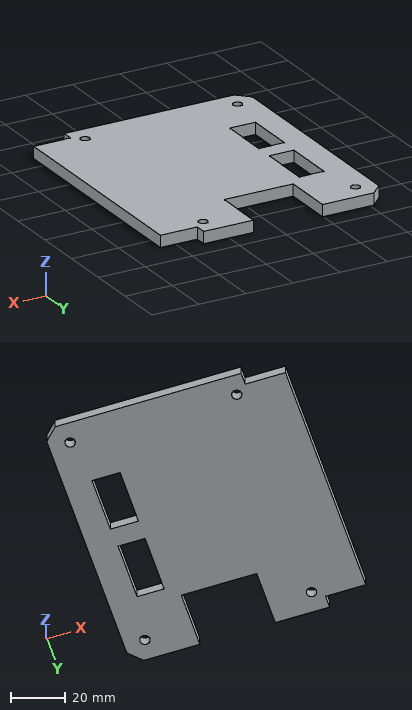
import cadquery as cq

length = 93.0
width = 104.5
thickness = 5.0
corner_chamfer = 5.0

shoulder_x = 77.3
shoulder_step = 4.8

notch_left = 26.9
notch_right = 56.1
notch_depth = 21.9

window_right = 21.6
upper_window_length = 10.5
upper_window_bottom = 55.5
upper_window_top = 78.0
lower_window_length = 10.9
lower_window_bottom = 26.0
lower_window_top = 47.7

hole_diameter = 3.8
hole_inset = 8.2
hole_spacing_x = 64.8


def plate_body():
    """Wide plate with two chamfered corners and a stepped-in tongue."""
    wide = cq.Workplane("XY").box(shoulder_x, width, thickness, centered=False)
    wide = wide.edges("|Z and <X").chamfer(corner_chamfer)
    return wide.union(through_block(shoulder_x, length, shoulder_step, width - shoulder_step))


def through_block(left, right, bottom, top):
    """Full-thickness rectangular block between the given edges."""
    return (
        cq.Workplane("XY")
        .box(right - left, top - bottom, thickness, centered=False)
        .translate((left, bottom, 0))
    )


def mounting_holes():
    """Four through-hole cylinders on a rectangular pattern."""
    centers = [
        (x, y)
        for x in (hole_inset, hole_inset + hole_spacing_x)
        for y in (hole_inset, width - hole_inset)
    ]
    return cq.Workplane("XY").pushPoints(centers).circle(hole_diameter / 2).extrude(thickness)


notch = through_block(notch_left, notch_right, width - notch_depth, width)
upper_window = through_block(
    window_right - upper_window_length, window_right, upper_window_bottom, upper_window_top
)
lower_window = through_block(
    window_right - lower_window_length, window_right, lower_window_bottom, lower_window_top
)

result = plate_body().cut(notch).cut(upper_window).cut(lower_window).cut(mounting_holes())